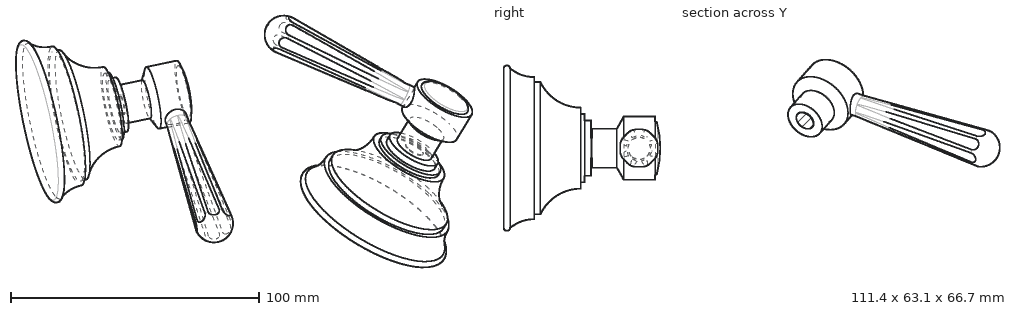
import cadquery as cq
import math


OVERALL_HEIGHT = 63.12
SKIRT_TOP = 12.4
BAND_TOP = 14.8
BELL_TOP = 31.1
LOWER_DISK_TOP = 32.6
UPPER_DISK_TOP = 35.2
HUB_GAP = 0.35
NECK_TOP = 45.6
HEAD_BOTTOM = 48.3
HEAD_TOP = 61.0

BASE_RADIUS = 66.67 / 2
RIM_ROUND_RADIUS = 1.335
SKIRT_TOP_RADIUS = 28.65
BAND_RADIUS = 26.7
BELL_TOP_RADIUS = 16.35
LOWER_DISK_RADIUS = 13.8
UPPER_DISK_RADIUS = 11.2
NECK_RADIUS = 7.9
SPINDLE_RADIUS = 4.0
HEAD_RADIUS = 12.75
CAP_RADIUS = 10.75
CAP_ROUND_RADIUS = 0.85

LEVER_TIP_X = 111.43 - BASE_RADIUS
LEVER_HEIGHT = 54.5
LEVER_ROOT_X = 15.1
LEVER_ROOT_RADIUS = 4.5
KNOB_RADIUS = 7.77
FLAT_COUNT = 8
FLAT_KNOB_DISTANCE = 7.43


def cove_middle(bottom, top):
    """Middle point of the concave arc that ends parallel to the body axis at its top.

    Both ends are (radius, height) points.
    """
    spread = bottom[0] - top[0]
    rise = top[1] - bottom[1]
    arc_radius = (rise**2 + spread**2) / (2 * spread)
    half_rise = rise / 2
    middle_radius = top[0] + arc_radius - math.sqrt(arc_radius**2 - half_rise**2)
    return middle_radius, bottom[1] + half_rise


def make_escutcheon():
    """Rounded rim, coved skirt, plain band, coved bell and two stepped disks."""
    rim_center_radius = BASE_RADIUS - RIM_ROUND_RADIUS
    skirt_bottom = (rim_center_radius, 2 * RIM_ROUND_RADIUS)
    skirt_top = (SKIRT_TOP_RADIUS, SKIRT_TOP)
    bell_bottom = (BAND_RADIUS, BAND_TOP)
    bell_top = (BELL_TOP_RADIUS, BELL_TOP)

    profile = (
        cq.Workplane("XY")
        .lineTo(rim_center_radius, 0)
        .threePointArc((BASE_RADIUS, RIM_ROUND_RADIUS), skirt_bottom)
        .threePointArc(cove_middle(skirt_bottom, skirt_top), skirt_top)
        .lineTo(BAND_RADIUS, SKIRT_TOP)
        .lineTo(*bell_bottom)
        .threePointArc(cove_middle(bell_bottom, bell_top), bell_top)
        .lineTo(LOWER_DISK_RADIUS, BELL_TOP)
        .lineTo(LOWER_DISK_RADIUS, LOWER_DISK_TOP)
        .lineTo(UPPER_DISK_RADIUS, LOWER_DISK_TOP)
        .lineTo(UPPER_DISK_RADIUS, UPPER_DISK_TOP)
        .lineTo(0, UPPER_DISK_TOP)
        .close()
    )
    return profile.revolve(360, (0, 0, 0), (0, 1, 0))


def make_hub():
    """Spindle, neck, flared head and domed cap."""
    cap_round_offset = CAP_ROUND_RADIUS * math.sqrt(0.5)
    dome_edge_radius = CAP_RADIUS - CAP_ROUND_RADIUS
    dome_edge_height = HEAD_TOP + CAP_ROUND_RADIUS
    dome_rise = OVERALL_HEIGHT - dome_edge_height
    dome_radius = (dome_edge_radius**2 + dome_rise**2) / (2 * dome_rise)
    dome_middle_radius = dome_edge_radius / 2
    dome_drop = dome_radius - math.sqrt(dome_radius**2 - dome_middle_radius**2)
    neck_bottom = UPPER_DISK_TOP + HUB_GAP

    profile = (
        cq.Workplane("XY")
        .moveTo(0, BELL_TOP)
        .lineTo(SPINDLE_RADIUS, BELL_TOP)
        .lineTo(SPINDLE_RADIUS, neck_bottom)
        .lineTo(NECK_RADIUS, neck_bottom)
        .lineTo(NECK_RADIUS, NECK_TOP)
        .lineTo(HEAD_RADIUS, HEAD_BOTTOM)
        .lineTo(HEAD_RADIUS, HEAD_TOP)
        .lineTo(CAP_RADIUS, HEAD_TOP)
        .threePointArc(
            (dome_edge_radius + cap_round_offset, HEAD_TOP + cap_round_offset),
            (dome_edge_radius, dome_edge_height),
        )
        .threePointArc((dome_middle_radius, OVERALL_HEIGHT - dome_drop), (0, OVERALL_HEIGHT))
        .close()
    )
    return profile.revolve(360, (0, 0, 0), (0, 1, 0))


def make_flat_cutter(knob_x, angle):
    """Block above a plane that leaves the cone at the lever root and sinks in toward the knob."""
    run = knob_x - LEVER_ROOT_X
    slope = (FLAT_KNOB_DISTANCE - LEVER_ROOT_RADIUS) / run
    end_height = LEVER_ROOT_RADIUS + slope * (LEVER_TIP_X - LEVER_ROOT_X)
    top_height = 2 * KNOB_RADIUS
    cutter = (
        cq.Workplane("XY")
        .polyline(
            [
                (LEVER_ROOT_X, LEVER_ROOT_RADIUS),
                (LEVER_TIP_X, end_height),
                (LEVER_TIP_X, top_height),
                (LEVER_ROOT_X, top_height),
            ]
        )
        .close()
        .extrude(KNOB_RADIUS, both=True)
    )
    return cutter.rotate((0, 0, 0), (1, 0, 0), angle)


def make_lever():
    """Tapered round lever with a ball end and flats cut along its length."""
    knob_x = LEVER_TIP_X - KNOB_RADIUS
    root_distance = math.hypot(knob_x - LEVER_ROOT_X, LEVER_ROOT_RADIUS)
    tangent_angle = math.acos(KNOB_RADIUS / root_distance) + math.atan2(
        LEVER_ROOT_RADIUS, knob_x - LEVER_ROOT_X
    )
    tangent_x = knob_x - KNOB_RADIUS * math.cos(tangent_angle)
    tangent_radius = KNOB_RADIUS * math.sin(tangent_angle)
    arc_offset = KNOB_RADIUS * math.sqrt(0.5)

    lever = (
        cq.Workplane("XY")
        .lineTo(0, LEVER_ROOT_RADIUS)
        .lineTo(LEVER_ROOT_X, LEVER_ROOT_RADIUS)
        .lineTo(tangent_x, tangent_radius)
        .threePointArc((knob_x + arc_offset, arc_offset), (LEVER_TIP_X, 0))
        .close()
        .revolve(360, (0, 0, 0), (1, 0, 0))
    )
    for index in range(FLAT_COUNT):
        lever = lever.cut(make_flat_cutter(knob_x, index * 360 / FLAT_COUNT))
    return lever.translate((0, LEVER_HEIGHT, 0))


result = make_escutcheon().union(make_hub()).union(make_lever())